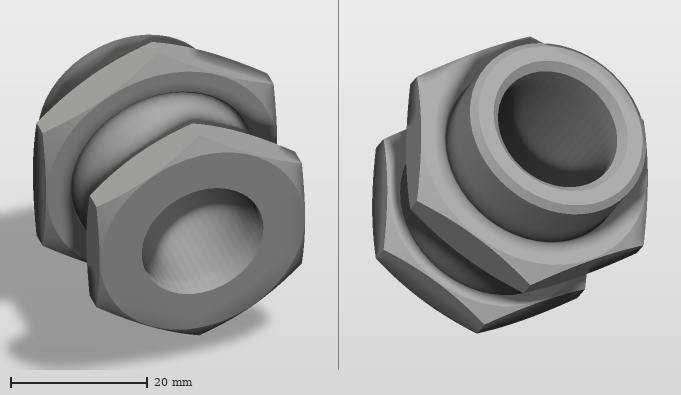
import cadquery as cq
import math

total_length = 34.0
tube_diameter = 28.0
tube_end_chamfer = 1.0
bore_diameter = 18.95
bore_chamfer = 1.15
head_width = 32.0
head_face_diameter = 31.7

nut_start = 10.0
nut_width = 36.0
nut_face_diameter = 35.7
nut_bore_chamfer = 0.25

hex_thickness = 6.03
corner_chamfer_angle = 30.0


def x_cylinder(start, length, diameter):
    """Cylinder along X that starts at the given X."""
    return cq.Workplane("YZ", origin=(start, 0, 0)).circle(diameter / 2).extrude(length)


def chamfered_hexagon(start, across_flats, face_diameter):
    """Hexagon along X with corners up and down, both ends turned to a cone."""
    corner_radius = across_flats / math.sqrt(3)
    face_radius = face_diameter / 2
    chamfer_length = (corner_radius - face_radius) * math.tan(math.radians(corner_chamfer_angle))
    end = start + hex_thickness

    prism = (
        cq.Workplane("YZ", origin=(start, 0, 0))
        .polygon(6, 2 * corner_radius)
        .extrude(hex_thickness)
        .rotate((0, 0, 0), (1, 0, 0), 90)
    )
    turned_envelope = (
        cq.Workplane("XY")
        .moveTo(start, 0)
        .lineTo(start, face_radius)
        .lineTo(start + chamfer_length, corner_radius)
        .lineTo(end - chamfer_length, corner_radius)
        .lineTo(end, face_radius)
        .lineTo(end, 0)
        .close()
        .revolve(360, (0, 0, 0), (1, 0, 0))
    )
    return prism.intersect(turned_envelope)


def make_fitting():
    """Tube and hexagonal head in one piece, bored through."""
    tube = x_cylinder(0, total_length, tube_diameter).faces("<X").chamfer(tube_end_chamfer)
    head = chamfered_hexagon(total_length - hex_thickness, head_width, head_face_diameter)
    bore = x_cylinder(0, total_length, bore_diameter)
    drilled = tube.union(head).cut(bore)
    bore_rim = drilled.faces("<X").edges(cq.selectors.RadiusNthSelector(0))
    return bore_rim.chamfer(bore_chamfer)


def make_nut():
    """Hexagonal nut that fits the tube, its bore chamfered at both ends."""
    blank = chamfered_hexagon(nut_start, nut_width, nut_face_diameter)
    bored = blank.cut(x_cylinder(nut_start, hex_thickness, tube_diameter))
    bore_rims = bored.faces("<X or >X").edges(cq.selectors.RadiusNthSelector(0))
    return bore_rims.chamfer(nut_bore_chamfer)


fitting = make_fitting()
nut = make_nut()

result = cq.Compound.makeCompound([fitting.val(), nut.val()])